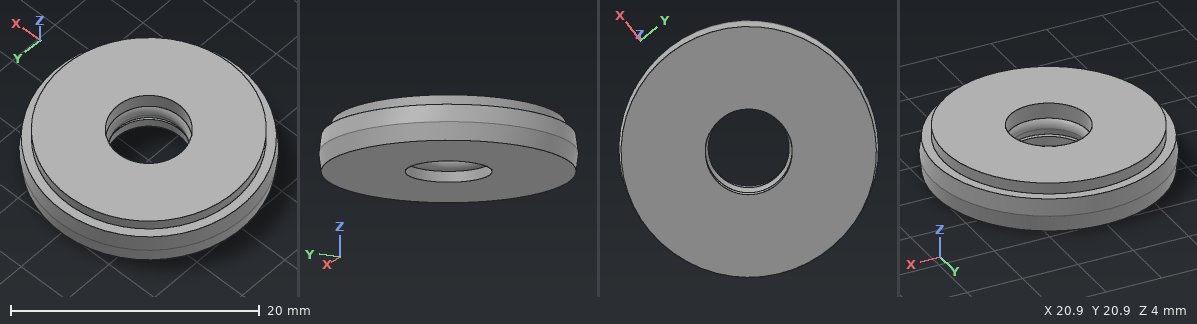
import cadquery as cq

height = 4.0
rim_radius = 10.45
rim_edge_radius = 10.26
rim_height = 2.99
boss_radius = 9.45

bore_radius = 3.5
groove_bottom = 0.9
groove_width = 1.7

ring_inner_radius = 3.24
ring_section_radius = groove_width / 2
ring_centre_radius = ring_inner_radius + ring_section_radius
ring_centre_height = groove_bottom + ring_section_radius
groove_radius = ring_centre_radius + ring_section_radius


def make_housing():
    """Disc with a double-tapered rim, revolved about Z with its grooved bore."""
    groove_top = groove_bottom + groove_width
    profile = [
        (bore_radius, 0),
        (rim_edge_radius, 0),
        (rim_radius, rim_height / 2),
        (rim_edge_radius, rim_height),
        (boss_radius, rim_height),
        (boss_radius, height),
        (bore_radius, height),
        (bore_radius, groove_top),
        (groove_radius, groove_top),
        (groove_radius, groove_bottom),
        (bore_radius, groove_bottom),
    ]
    return cq.Workplane("XZ").polyline(profile).close().revolve(360, (0, 0), (0, 1))


def make_seal_ring():
    """Round-section ring, its section drawn as an upper and a lower half circle."""
    inner_point = (ring_inner_radius, ring_centre_height)
    outer_point = (groove_radius, ring_centre_height)
    top_point = (ring_centre_radius, ring_centre_height + ring_section_radius)
    bottom_point = (ring_centre_radius, ring_centre_height - ring_section_radius)
    return (
        cq.Workplane("XZ")
        .moveTo(*inner_point)
        .threePointArc(top_point, outer_point)
        .threePointArc(bottom_point, inner_point)
        .close()
        .revolve(360, (0, 0), (0, 1), clean=False)
    )


housing = make_housing()
seal_ring = make_seal_ring()
result = cq.Compound.makeCompound([housing.val(), seal_ring.val()])